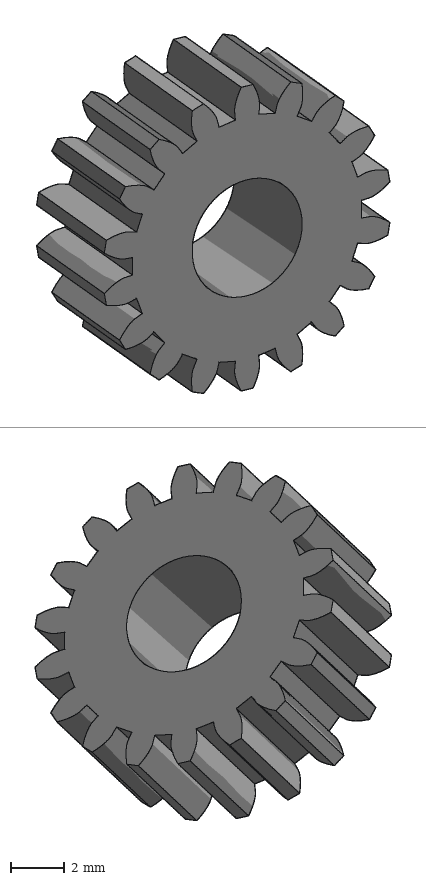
import cadquery as cq
import math

tooth_count = 18
outer_height = 12.58
tip_land_width = 0.52
root_radius = 5.02
face_width = 5.0
bore_radius = 2.4

tip_radius = math.hypot(outer_height / 2, tip_land_width / 2)

base_radius = 5.38
base_half_angle = math.radians(5.85)
flank_samples = 6
tooth_pitch = 2 * math.pi / tooth_count

end_face = cq.Workplane("YZ").workplane(offset=-face_width / 2)


def polar(radius, angle):
    """Point in the end plane at an angle measured from the +Z axis."""
    return radius * math.sin(angle), radius * math.cos(angle)


def flank_half_angle(radius):
    """Half the angle that one tooth spans at a radius on or above the base circle."""
    pressure_angle = math.acos(base_radius / radius)
    return base_half_angle - (math.tan(pressure_angle) - pressure_angle)


def flank_points(tooth_angle, side):
    """Involute points from the base circle out to the tip on one side of a tooth."""
    step = (tip_radius - base_radius) / flank_samples
    radii = [base_radius + i * step for i in range(flank_samples + 1)]
    return [polar(r, tooth_angle + side * flank_half_angle(r)) for r in radii]


def gear_outline():
    """Closed gear profile, with flat tooth tips and straight root lands."""
    outline = end_face.moveTo(*polar(root_radius, -base_half_angle))
    for tooth in range(tooth_count):
        tooth_angle = tooth * tooth_pitch
        leading = flank_points(tooth_angle, -1)
        trailing = flank_points(tooth_angle, 1)[::-1]
        outline = outline.lineTo(*leading[0])
        outline = outline.spline(leading[1:], includeCurrent=True)
        outline = outline.lineTo(*trailing[0])
        outline = outline.spline(trailing[1:], includeCurrent=True)
        outline = outline.lineTo(*polar(root_radius, tooth_angle + base_half_angle))
        if tooth < tooth_count - 1:
            next_root = polar(root_radius, tooth_angle + tooth_pitch - base_half_angle)
            outline = outline.lineTo(*next_root)
    return outline.close()


gear = gear_outline().extrude(face_width)
bore = end_face.circle(bore_radius).extrude(face_width)

result = gear.cut(bore)